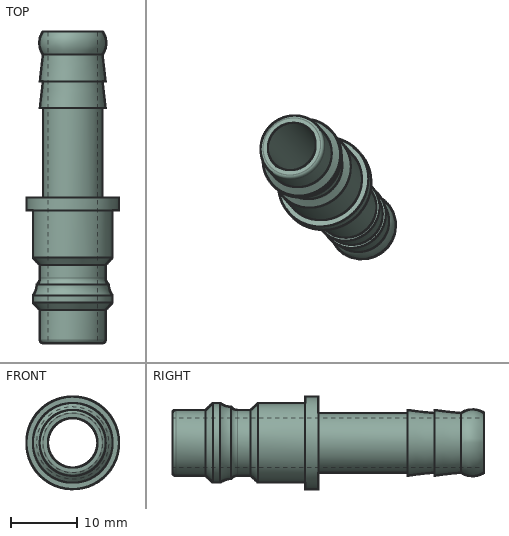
import cadquery as cq

LENGTH = 47.0
BORE_RADIUS = 3.7

PLUG_RADIUS = 5.0
LIP_FILLET = 0.5
RIDGE_RADIUS = 6.0
RIDGE_CONE_START = 5.05
RIDGE_START = 6.1
RIDGE_END = 7.2
SHOULDER_RADIUS = 5.45
SHOULDER_POSITION = 8.85
NECK_START = 9.8
NECK_END = 11.8
BODY_START = 12.92
HOLLOW_DEPTH = 0.15

FLANGE_RADIUS = 7.0
FLANGE_START = 20.0
FLANGE_WIDTH = 1.97

STEM_RADIUS = 4.5
BARB_RADIUS = 5.0
BARB_LENGTH = 4.05
BARB_COUNT = 2
BEAD_RADIUS = 5.08
BEAD_LENGTH = 3.5


def hollow_arc(profile, start, end):
    """Add an arc between two profile points, bowed towards the axis."""
    middle_radius = (start[0] + end[0]) / 2 - HOLLOW_DEPTH
    middle_position = (start[1] + end[1]) / 2
    return profile.threePointArc((middle_radius, middle_position), end)


def add_plug(profile):
    """Draw the outside from the front face to the flange."""
    ridge_edge = (RIDGE_RADIUS, RIDGE_END)
    shoulder = (SHOULDER_RADIUS, SHOULDER_POSITION)
    neck_edge = (PLUG_RADIUS, NECK_START)
    profile = (
        profile.lineTo(PLUG_RADIUS - LIP_FILLET, 0)
        .radiusArc((PLUG_RADIUS, LIP_FILLET), -LIP_FILLET)
        .lineTo(PLUG_RADIUS, RIDGE_CONE_START)
        .lineTo(RIDGE_RADIUS, RIDGE_START)
        .lineTo(*ridge_edge)
    )
    profile = hollow_arc(profile, ridge_edge, shoulder)
    profile = hollow_arc(profile, shoulder, neck_edge)
    return (
        profile.lineTo(PLUG_RADIUS, NECK_END)
        .lineTo(RIDGE_RADIUS, BODY_START)
        .lineTo(RIDGE_RADIUS, FLANGE_START)
    )


def add_flange(profile):
    """Draw the flange and step down to the stem."""
    flange_end = FLANGE_START + FLANGE_WIDTH
    return (
        profile.lineTo(FLANGE_RADIUS, FLANGE_START)
        .lineTo(FLANGE_RADIUS, flange_end)
        .lineTo(STEM_RADIUS, flange_end)
    )


def add_hose_end(profile):
    """Draw the stem, its tapered barbs and the rounded end bead."""
    bead_start = LENGTH - BEAD_LENGTH
    barbs_start = bead_start - BARB_COUNT * BARB_LENGTH
    profile = profile.lineTo(STEM_RADIUS, barbs_start)
    for index in range(BARB_COUNT):
        barb_start = barbs_start + index * BARB_LENGTH
        profile = profile.lineTo(BARB_RADIUS, barb_start)
        profile = profile.lineTo(STEM_RADIUS, barb_start + BARB_LENGTH)
    return profile.threePointArc(
        (BEAD_RADIUS, bead_start + BEAD_LENGTH / 2), (STEM_RADIUS, LENGTH)
    )


profile = cq.Workplane("XY").moveTo(BORE_RADIUS, 0)
profile = add_plug(profile)
profile = add_flange(profile)
profile = add_hose_end(profile)
profile = profile.lineTo(BORE_RADIUS, LENGTH).close()

result = profile.revolve(360, (0, 0, 0), (0, 1, 0)).translate((0, -LENGTH / 2, 0))